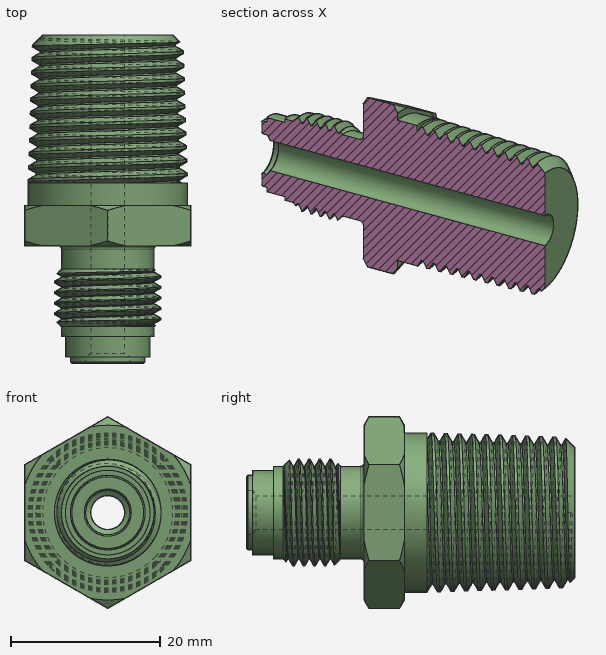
import cadquery as cq
import math


TOTAL_LENGTH = 43.95
TIP_LENGTH = 0.82
SEAT_END = 3.6
SLIM_THREAD_START = 4.9
SLIM_THREAD_END = 12.6
HEX_START = 15.73
HEX_END = 21.12
COLLAR_END = 24.15

TIP_DIAMETER = 10.0
SEAT_DIAMETER = 11.32
NECK_DIAMETER = 12.39
COLLAR_DIAMETER = 21.35

TIP_CHAMFER = 0.2
NECK_FILLET = 0.5

HEX_SIDES = 6
HEX_ACROSS_FLATS = 22.225
HEX_FACE_DIAMETER = 23.4
HEX_CHAMFER_ANGLE = 30

BORE_DIAMETER = 4.5
COUNTERBORE_DIAMETER = 5.9
COUNTERBORE_DEPTH = 0.88
COUNTERBORE_CHAMFER = 0.2
DRILL_POINT_ANGLE = 118

FLANK_ANGLE = 30
INCH = 25.4
CUT_CLEARANCE = 0.1
CUT_TOLERANCE = 0.0001
STRAIGHT = 360

SLIM_PITCH = INCH / 18
SLIM_MAJOR_DIAMETER = 14.29
SLIM_CREST_WIDTH = 0.18
SLIM_GROOVE_START = 15.11

PIPE_PITCH = INCH / 14
PIPE_TAPER_ANGLE = math.degrees(math.atan(1 / 32))
PIPE_THREAD_DEPTH = 1.04
PIPE_CREST_WIDTH = 0.38
PIPE_GROOVE_START = 43.46
PIPE_END_DIAMETER = 17.4


def revolve_about_y(outline):
    """Solid of revolution about Y from (radius, y) points; the axis side is closed."""
    start_y = outline[0][1]
    end_y = outline[-1][1]
    points = [(0, start_y)] + outline + [(0, end_y)]
    return cq.Workplane("XY").polyline(points).close().revolve(360, (0, 0, 0), (0, 1, 0))


def cylinder(diameter, start_y, end_y):
    radius = diameter / 2
    return revolve_about_y([(radius, start_y), (radius, end_y)])


def thread_groove(pitch, crest_radius, depth, crest_width, start_y, turns, taper_angle=STRAIGHT):
    """V groove that starts on the +X side at start_y and winds toward -Y.

    crest_radius is the radius of the thread crest at start_y. It grows toward -Y with taper_angle.
    """
    root_radius = crest_radius - depth
    mouth_radius = crest_radius + CUT_CLEARANCE
    flank_slope = math.tan(math.radians(FLANK_ANGLE))
    root_half_width = (pitch - crest_width) / 2 - depth * flank_slope
    mouth_half_width = root_half_width + (mouth_radius - root_radius) * flank_slope

    helix = cq.Wire.makeHelix(pitch, turns * pitch, root_radius, angle=taper_angle)
    profile = [
        (root_radius, -root_half_width),
        (mouth_radius, -mouth_half_width),
        (mouth_radius, mouth_half_width),
        (root_radius, root_half_width),
    ]
    groove = cq.Workplane("XZ").polyline(profile).close().sweep(cq.Workplane(helix), isFrenet=True)
    return groove.rotate((0, 0, 0), (1, 0, 0), 90).translate((0, start_y, 0))


def groove_turns(start_y, end_y, pitch):
    """Whole turns that carry a groove from start_y past end_y."""
    return math.ceil((start_y - end_y) / pitch) + 1


def slim_thread():
    neck_radius = NECK_DIAMETER / 2
    major_radius = SLIM_MAJOR_DIAMETER / 2
    depth = major_radius - neck_radius
    turns = groove_turns(SLIM_GROOVE_START, SLIM_THREAD_START, SLIM_PITCH)
    groove = thread_groove(SLIM_PITCH, major_radius, depth, SLIM_CREST_WIDTH, SLIM_GROOVE_START, turns)
    bar = cylinder(SLIM_MAJOR_DIAMETER, SLIM_THREAD_START, SLIM_THREAD_END)
    threaded_bar = bar.cut(groove, tol=CUT_TOLERANCE)

    half_length = (SLIM_THREAD_END - SLIM_THREAD_START) / 2
    bevels = revolve_about_y([
        (neck_radius, SLIM_THREAD_START),
        (neck_radius + half_length, SLIM_THREAD_START + half_length),
        (neck_radius, SLIM_THREAD_END),
    ])
    return threaded_bar.intersect(bevels)


def pipe_thread():
    taper_slope = math.tan(math.radians(PIPE_TAPER_ANGLE))

    def crest_radius(y):
        return COLLAR_DIAMETER / 2 - (y - COLLAR_END) * taper_slope

    turns = groove_turns(PIPE_GROOVE_START, COLLAR_END, PIPE_PITCH)
    groove = thread_groove(
        PIPE_PITCH,
        crest_radius(PIPE_GROOVE_START),
        PIPE_THREAD_DEPTH,
        PIPE_CREST_WIDTH,
        PIPE_GROOVE_START,
        turns,
        PIPE_TAPER_ANGLE,
    )
    groove = groove.rotate((0, 0, 0), (0, 1, 0), 180)
    tapered_bar = revolve_about_y([
        (crest_radius(COLLAR_END), COLLAR_END),
        (crest_radius(TOTAL_LENGTH), TOTAL_LENGTH),
    ])
    threaded_bar = tapered_bar.cut(groove, tol=CUT_TOLERANCE)

    end_radius = PIPE_END_DIAMETER / 2
    bevel = revolve_about_y([
        (end_radius + TOTAL_LENGTH - COLLAR_END, COLLAR_END),
        (end_radius, TOTAL_LENGTH),
    ])
    return threaded_bar.intersect(bevel)


def hexagon():
    corner_radius = HEX_ACROSS_FLATS / 2 / math.cos(math.pi / HEX_SIDES)
    face_radius = HEX_FACE_DIAMETER / 2
    chamfer_depth = (corner_radius - face_radius) * math.tan(math.radians(HEX_CHAMFER_ANGLE))
    corners = []
    for index in range(HEX_SIDES):
        angle = math.pi / 2 + 2 * math.pi * index / HEX_SIDES
        corners.append((corner_radius * math.cos(angle), corner_radius * math.sin(angle)))
    prism = (
        cq.Workplane("XZ", origin=(0, HEX_START, 0)).polyline(corners).close().extrude(HEX_START - HEX_END)
    )
    envelope = revolve_about_y([
        (face_radius, HEX_START),
        (corner_radius, HEX_START + chamfer_depth),
        (corner_radius, HEX_END - chamfer_depth),
        (face_radius, HEX_END),
    ])
    return prism.intersect(envelope)


def slim_end():
    tip = cylinder(TIP_DIAMETER, 0, TIP_LENGTH).faces("<Y").chamfer(TIP_CHAMFER)
    seat = cylinder(SEAT_DIAMETER, TIP_LENGTH, SEAT_END)
    land = cylinder(NECK_DIAMETER, SEAT_END, SLIM_THREAD_START)
    return tip.union(seat).union(land)


def neck():
    radius = NECK_DIAMETER / 2
    return (
        cq.Workplane("XY")
        .moveTo(0, SLIM_THREAD_END)
        .lineTo(radius, SLIM_THREAD_END)
        .lineTo(radius, HEX_START - NECK_FILLET)
        .radiusArc((radius + NECK_FILLET, HEX_START), NECK_FILLET)
        .lineTo(0, HEX_START)
        .close()
        .revolve(360, (0, 0, 0), (0, 1, 0))
    )


def bore():
    bore_radius = BORE_DIAMETER / 2
    counterbore_radius = COUNTERBORE_DIAMETER / 2
    point_depth = (counterbore_radius - bore_radius) / math.tan(math.radians(DRILL_POINT_ANGLE / 2))
    return revolve_about_y([
        (counterbore_radius + COUNTERBORE_CHAMFER, 0),
        (counterbore_radius, COUNTERBORE_CHAMFER),
        (counterbore_radius, COUNTERBORE_DEPTH),
        (bore_radius, COUNTERBORE_DEPTH + point_depth),
        (bore_radius, TOTAL_LENGTH),
    ])


collar = cylinder(COLLAR_DIAMETER, HEX_END, COLLAR_END)
body = slim_end().union(slim_thread()).union(neck()).union(hexagon()).union(collar).union(pipe_thread())
result = body.cut(bore())